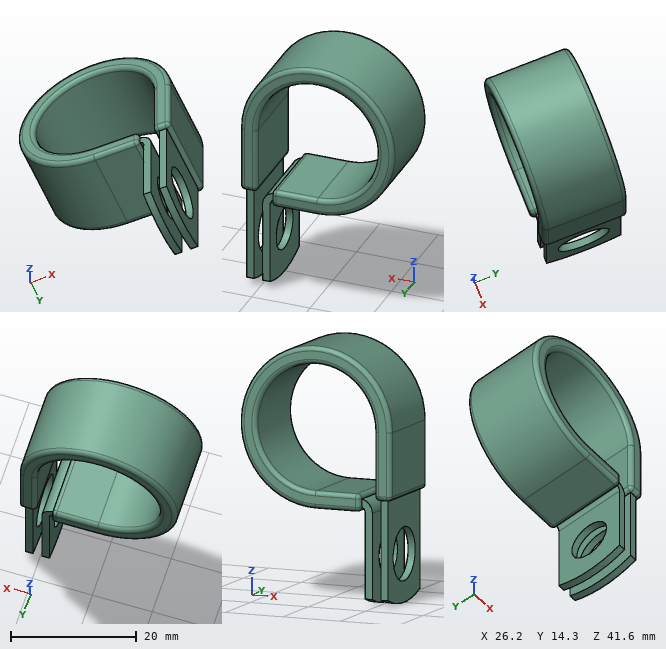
import cadquery as cq
import math

outer_radius = 13.1
strap_thickness = 1.25
edge_radius = 0.75
edge_land = 0.05
strap_width = 12.7
cushion_width = 14.28
cushion_arm_length = 7.75
cushion_drop = 11.1
tab_gap = 1.5
bend_inner_radius = 1.0
bottom_z = -28.5
tip_rise = 1.3
left_hole_diameter = 7.25
right_hole_diameter = 8.75
hole_z = -20.65

cushion_thickness = strap_thickness + 2 * edge_radius + 2 * edge_land
mid_radius = outer_radius - cushion_thickness / 2
bend_mid_radius = bend_inner_radius + strap_thickness / 2
left_tab_x = mid_radius - strap_thickness - tab_gap
diagonal = math.sqrt(0.5)


def extrude_centred(profile, width):
    """Extrude an XZ profile equally to both sides of the loop's middle plane."""
    return profile.extrude(width / 2, both=True)


def make_cushion():
    """Rounded band: three-quarter loop with a straight run at each end."""
    inner_radius = outer_radius - cushion_thickness
    profile = (
        cq.Workplane("XZ")
        .moveTo(outer_radius, -cushion_drop)
        .lineTo(outer_radius, 0)
        .threePointArc((-outer_radius * diagonal, outer_radius * diagonal), (0, -outer_radius))
        .lineTo(cushion_arm_length, -outer_radius)
        .lineTo(cushion_arm_length, -inner_radius)
        .lineTo(0, -inner_radius)
        .threePointArc((-inner_radius * diagonal, inner_radius * diagonal), (inner_radius, 0))
        .lineTo(inner_radius, -cushion_drop)
        .close()
    )
    band = extrude_centred(profile, cushion_width)
    arm_end_edges = band.edges(cq.selectors.BoxSelector(
        (cushion_arm_length - edge_radius, -cushion_width, -outer_radius - edge_radius),
        (cushion_arm_length + edge_radius, cushion_width, -inner_radius + edge_radius),
    ))
    drop_end_edges = band.edges(cq.selectors.BoxSelector(
        (inner_radius - edge_radius, -cushion_width, -cushion_drop - edge_radius),
        (outer_radius + edge_radius, cushion_width, -cushion_drop + edge_radius),
    ))
    side_edges = band.faces("<Y or >Y").edges()
    return side_edges.add(arm_end_edges).add(drop_end_edges).fillet(edge_radius)


def make_left_tab():
    """Strap leaving the bottom run and bending down into a tab."""
    outer_x = left_tab_x + strap_thickness / 2
    inner_x = left_tab_x - strap_thickness / 2
    top_z = -mid_radius + strap_thickness / 2
    under_z = -mid_radius - strap_thickness / 2
    bend_x = left_tab_x - bend_mid_radius
    bend_z = -mid_radius - bend_mid_radius
    outer_bend = (bend_inner_radius + strap_thickness) * diagonal
    inner_bend = bend_inner_radius * diagonal
    profile = (
        cq.Workplane("XZ")
        .moveTo(0, top_z)
        .lineTo(bend_x, top_z)
        .threePointArc((bend_x + outer_bend, bend_z + outer_bend), (outer_x, bend_z))
        .lineTo(outer_x, bottom_z)
        .lineTo(inner_x, bottom_z)
        .lineTo(inner_x, bend_z)
        .threePointArc((bend_x + inner_bend, bend_z + inner_bend), (bend_x, under_z))
        .lineTo(0, under_z)
        .close()
    )
    return extrude_centred(profile, strap_width)


def make_right_tab():
    """Straight strap hanging from the right side."""
    return cq.Workplane("XY").box(
        strap_thickness, strap_width, -bottom_z, centered=(True, True, False)
    ).translate((mid_radius, 0, bottom_z))


def make_tab_outline(hole_diameter):
    """Side outline of a tab: curved lower end and screw hole."""
    half_width = strap_width / 2
    return (
        cq.Workplane("YZ")
        .moveTo(-half_width, 0)
        .lineTo(-half_width, bottom_z + tip_rise)
        .threePointArc((0, bottom_z), (half_width, bottom_z + tip_rise))
        .lineTo(half_width, 0)
        .close()
        .moveTo(0, hole_z)
        .circle(hole_diameter / 2)
        .extrude(outer_radius)
    )


left_tab = make_left_tab().intersect(make_tab_outline(left_hole_diameter))
right_tab = make_right_tab().intersect(make_tab_outline(right_hole_diameter))
result = make_cushion().union(left_tab).union(right_tab)